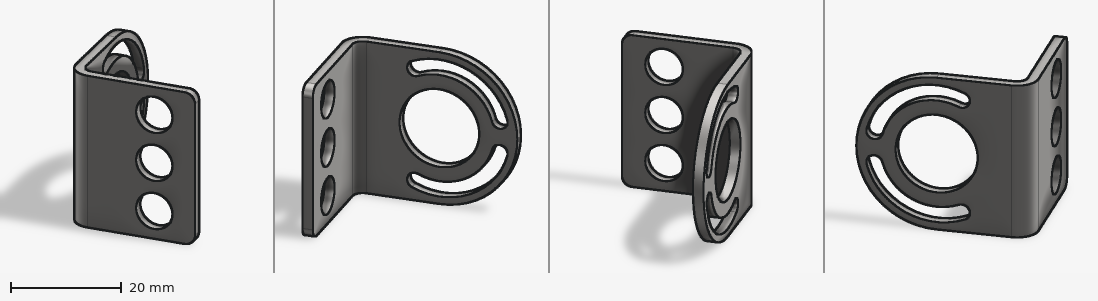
import cadquery as cq
import math

length_x = 25.0
length_y = 33.0
height = 30.0
thickness = 2.0
bend_outer_radius = 4.0
bend_inner_radius = bend_outer_radius - thickness
corner_radius = 2.0

flange_hole_diameter = 7.1
flange_hole_x = 17.03
flange_hole_pitch = 9.5

round_end_radius = height / 2
round_center_y = length_y - round_end_radius
bore_diameter = 15.3
slot_path_radius = 12.0
slot_width = 3.0
slot_start_angle = 15.0
slot_end_angle = 113.0
cut_margin = 0.33
cut_depth = thickness + 2 * cut_margin


def bent_sheet():
    """L-shaped sheet with a rounded bend, centred on Z = 0."""
    sheet = (
        cq.Workplane("XY")
        .polyline([
            (0, 0),
            (length_x, 0),
            (length_x, thickness),
            (thickness, thickness),
            (thickness, length_y),
            (0, length_y),
        ])
        .close()
        .extrude(height / 2, both=True)
    )
    sheet = sheet.edges(cq.NearestToPointSelector((0, 0, 0))).fillet(bend_outer_radius)
    inner_corner = cq.NearestToPointSelector((thickness, thickness, 0))
    return sheet.edges(inner_corner).fillet(bend_inner_radius)


def rounded_flange_plane():
    """Plane just outside the rounded flange; local axes are Y and Z."""
    return cq.Workplane("YZ", origin=(-cut_margin, round_center_y, 0))


def round_end_waste():
    """Material outside the semicircular end of the rounded flange."""
    block = rounded_flange_plane().rect(2 * round_end_radius, height).extrude(cut_depth)
    disc = rounded_flange_plane().circle(round_end_radius).extrude(cut_depth)
    near_half = (
        rounded_flange_plane()
        .center(-round_end_radius / 2, 0)
        .rect(round_end_radius, height)
        .extrude(cut_depth)
    )
    return block.cut(disc).cut(near_half)


def curved_slot(side):
    """Arc slot with round ends; side is +1 above the centre, -1 below."""
    def point(radius, degrees):
        angle = math.radians(degrees)
        return radius * math.cos(angle), side * radius * math.sin(angle)

    inner = slot_path_radius - slot_width / 2
    outer = slot_path_radius + slot_width / 2
    middle_angle = (slot_start_angle + slot_end_angle) / 2
    cap_radius = math.hypot(slot_path_radius, slot_width / 2)
    cap_angle = math.degrees(math.atan2(slot_width / 2, slot_path_radius))
    return (
        rounded_flange_plane()
        .moveTo(*point(outer, slot_start_angle))
        .threePointArc(point(outer, middle_angle), point(outer, slot_end_angle))
        .threePointArc(point(cap_radius, slot_end_angle + cap_angle), point(inner, slot_end_angle))
        .threePointArc(point(inner, middle_angle), point(inner, slot_start_angle))
        .threePointArc(point(cap_radius, slot_start_angle - cap_angle), point(outer, slot_start_angle))
        .close()
        .extrude(cut_depth)
    )


def flange_holes():
    """Three through holes in a vertical row."""
    return (
        cq.Workplane("XZ", origin=(flange_hole_x, thickness + cut_margin, 0))
        .rarray(0.33, flange_hole_pitch, 1, 3)
        .circle(flange_hole_diameter / 2)
        .extrude(cut_depth)
    )


bracket = bent_sheet().edges("|Y and >X").fillet(corner_radius)
bracket = bracket.cut(round_end_waste())
bore = rounded_flange_plane().circle(bore_diameter / 2).extrude(cut_depth)
bracket = bracket.cut(bore)
for slot_side in (1, -1):
    bracket = bracket.cut(curved_slot(slot_side))
result = bracket.cut(flange_holes())